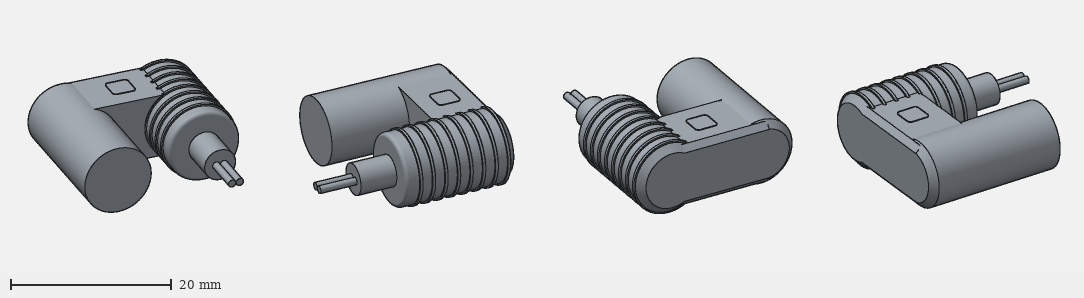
import cadquery as cq

total_length = 25.4
total_width = 22.7
end_chamfer = 0.97

smooth_diameter = 9.0
smooth_length = 19.0

grip_diameter = 9.6
grip_length = 15.4
grip_fillet = 0.5
rib_diameter = 10.0
rib_width = 0.38
rib_count = 8
first_rib_x = 1.0
last_rib_x = 13.18
rib_pitch = (last_rib_x - first_rib_x) / (rib_count - 1)
grip_y = total_width - smooth_diameter / 2 - rib_diameter / 2

cable_diameter = 4.2
cable_end_x = 20.37
wire_diameter = 1.0
wire_spacing = 1.05
wire_root = 1.27

bridge_length = 8.23
bridge_height = 8.53
bevel_depth = 0.75
bevel_drop = 0.85
bevel_overrun = 0.69

pad_size = 3.07
pad_height = 0.1
pad_corner_radius = 0.5
pad_x = 4.35
pad_y = 6.55


def rod(diameter, start_x, end_x, y):
    """Solid cylinder along X."""
    return (
        cq.Workplane("YZ", origin=(start_x, y, 0))
        .circle(diameter / 2)
        .extrude(end_x - start_x)
    )


def smooth_barrel():
    barrel = rod(smooth_diameter, 0, smooth_length, 0)
    return barrel.faces("<X").chamfer(end_chamfer)


def ribbed_barrel():
    barrel = rod(grip_diameter, 0, grip_length, grip_y)
    barrel = barrel.faces("<X").chamfer(end_chamfer)
    barrel = barrel.faces(">X").edges().fillet(grip_fillet)
    for index in range(rib_count):
        rib_x = first_rib_x + index * rib_pitch
        barrel = barrel.union(rod(rib_diameter, rib_x, rib_x + rib_width, grip_y))
    return barrel


def bridge():
    return cq.Workplane("XY").box(
        bridge_length, grip_y, bridge_height, centered=(False, False, True)
    )


def bevel_cutter():
    """Wedge above the sloping bevel, reaching slightly past the smooth barrel's axis."""
    half_height = bridge_height / 2
    clear_height = rib_diameter / 2
    return (
        cq.Workplane("XZ", origin=(0, -bevel_overrun, 0))
        .moveTo(0, half_height - bevel_drop)
        .lineTo(bevel_depth, half_height)
        .lineTo(bevel_depth, clear_height)
        .lineTo(0, clear_height)
        .close()
        .extrude(-(grip_y + bevel_overrun))
    )


def pad():
    block = (
        cq.Workplane("XY", origin=(pad_x, pad_y, 0))
        .rect(pad_size, pad_size)
        .extrude(bridge_height / 2 + pad_height)
    )
    return block.edges("|Z").fillet(pad_corner_radius)


def cable():
    assembly = rod(cable_diameter, bridge_length, cable_end_x, grip_y)
    for side in (-1, 1):
        wire_y = grip_y + side * wire_spacing / 2
        assembly = assembly.union(
            rod(wire_diameter, cable_end_x - wire_root, total_length, wire_y)
        )
    return assembly


wedge = bevel_cutter()
result = smooth_barrel().union(bridge())
result = result.cut(wedge).cut(wedge.mirror("XY"))
result = result.union(ribbed_barrel()).union(pad()).union(cable())